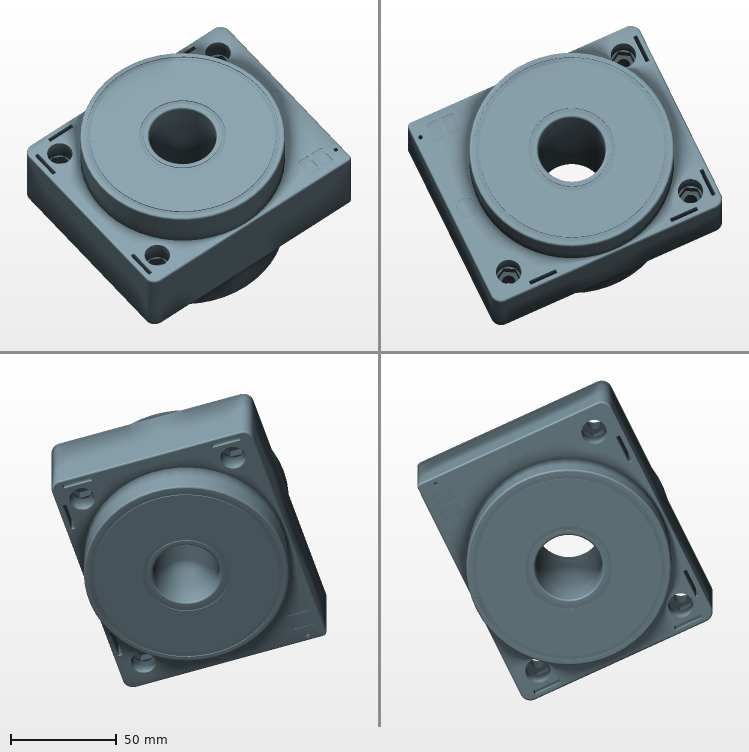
import cadquery as cq

WIDTH = 100.0
LENGTH = 120.0
HEIGHT = 70.0
FLANGE_HEIGHT = 35.0
CORNER_RADIUS = 5.0
EDGE_RADIUS = 1.0
SMALL_CORNER_RADIUS = 2.0

BARREL_RADIUS = 48.5
BORE_RADIUS = 16.0
BARREL_Y = -3.0

RIM_WIDTH = 2.5
PLATE_GAP = 2.0
PLATE_THICKNESS = 0.5
RECESS_OUTER_RADIUS = BARREL_RADIUS - RIM_WIDTH
RECESS_INNER_RADIUS = BORE_RADIUS + RIM_WIDTH
PLATE_OUTER_RADIUS = RECESS_OUTER_RADIUS - PLATE_GAP
PLATE_INNER_RADIUS = RECESS_INNER_RADIUS + PLATE_GAP

HOLE_X = 37.5
HOLE_Y = 47.5
HOLE_POSITIONS = [(-HOLE_X, -HOLE_Y), (HOLE_X, -HOLE_Y), (-HOLE_X, HOLE_Y)]
BOLT_DIAMETER = 6.5
COUNTERBORE_DIAMETER = 12.0
COUNTERBORE_DEPTH = 10.0
NUT_CORNER_DIAMETER = 11.5
NUT_DEPTH = 5.0

SLOT_LENGTH = 14.0
SLOT_WIDTH = 1.9
SLOT_INSET = 3.4
SLOT_OFFSET = 36.8

PIN_HOLE_POSITION = (41.2, 56.8)
PIN_HOLE_DIAMETER = 2.0
MARK_DEPTH = 0.2
MARK_SIZE = 10.0
ROUND_MARK_POSITION = (0, 52.0)
MARK_HEIGHT = 6.1
MARK_CORNER_RADIUS = 1.0
MARK_POSITIONS = [(40.8, 49.0), (40.8, 41.0)]

HALF_HEIGHT = HEIGHT / 2
FLANGE_TOP = FLANGE_HEIGHT / 2
RECESS_FLOOR = HALF_HEIGHT - PLATE_THICKNESS


def ring(outer_radius, inner_radius, bottom, height):
    """Flat ring around the bore axis."""
    return (
        cq.Workplane("XY", origin=(0, BARREL_Y, bottom))
        .circle(outer_radius)
        .circle(inner_radius)
        .extrude(height)
    )


def make_flange():
    """Upper half of the block: three large corner rounds, one small, and rounded top edges."""
    block = cq.Workplane("XY").box(WIDTH, LENGTH, FLANGE_TOP, centered=(True, True, False))
    block = block.edges("|Z and (<X or <Y)").fillet(CORNER_RADIUS)
    block = block.edges("|Z and >X and >Y").fillet(SMALL_CORNER_RADIUS)
    return block.faces(">Z").edges().fillet(EDGE_RADIUS)


def make_barrel():
    """Upper half of the barrel, rounded around the rim and the bore mouth."""
    barrel = ring(BARREL_RADIUS, BORE_RADIUS, 0, HALF_HEIGHT)
    return barrel.faces(">Z").edges().fillet(EDGE_RADIUS)


def cut_mounting_holes(body):
    top = cq.Workplane("XY", origin=(0, 0, FLANGE_TOP)).pushPoints(HOLE_POSITIONS)
    bolt_holes = top.circle(BOLT_DIAMETER / 2).extrude(-FLANGE_TOP)
    counterbores = top.circle(COUNTERBORE_DIAMETER / 2).extrude(-COUNTERBORE_DEPTH)
    nut_pockets = top.polygon(6, NUT_CORNER_DIAMETER).extrude(-COUNTERBORE_DEPTH - NUT_DEPTH)
    return body.cut(bolt_holes).cut(counterbores).cut(nut_pockets)


def cut_slots(body):
    slot_x = SLOT_INSET - WIDTH / 2
    slot_y = SLOT_INSET - LENGTH / 2
    for offset in (-SLOT_OFFSET, SLOT_OFFSET):
        left_slot = cq.Workplane("XY").center(slot_x, BARREL_Y + offset).rect(SLOT_WIDTH, SLOT_LENGTH)
        front_slot = cq.Workplane("XY").center(offset, slot_y).rect(SLOT_LENGTH, SLOT_WIDTH)
        body = body.cut(left_slot.extrude(FLANGE_TOP))
        body = body.cut(front_slot.extrude(FLANGE_TOP))
    return body


def cut_pin_hole(body):
    pin_hole = cq.Workplane("XY").center(*PIN_HOLE_POSITION).circle(PIN_HOLE_DIAMETER / 2)
    return body.cut(pin_hole.extrude(FLANGE_TOP))


def cut_marks(body):
    """Shallow round and rectangular recesses for markings."""
    top = cq.Workplane("XY", origin=(0, 0, FLANGE_TOP))
    round_mark = top.pushPoints([ROUND_MARK_POSITION]).circle(MARK_SIZE / 2).extrude(-MARK_DEPTH)
    label_marks = top.pushPoints(MARK_POSITIONS).rect(MARK_SIZE, MARK_HEIGHT).extrude(-MARK_DEPTH)
    label_marks = label_marks.edges("|Z").fillet(MARK_CORNER_RADIUS)
    return body.cut(round_mark).cut(label_marks)


def make_half_housing():
    bore = cq.Workplane("XY", origin=(0, BARREL_Y, 0)).circle(BORE_RADIUS).extrude(FLANGE_TOP)
    body = make_flange().cut(bore).union(make_barrel())
    body = body.cut(ring(RECESS_OUTER_RADIUS, RECESS_INNER_RADIUS, RECESS_FLOOR, PLATE_THICKNESS))
    body = cut_mounting_holes(body)
    body = cut_slots(body)
    body = cut_pin_hole(body)
    return cut_marks(body)


def make_ring_plate():
    return ring(PLATE_OUTER_RADIUS, PLATE_INNER_RADIUS, RECESS_FLOOR, PLATE_THICKNESS)


upper_bodies = [make_half_housing(), make_ring_plate()]
bodies = []
for upper_body in upper_bodies:
    bodies.append(upper_body.solids().val())
    bodies.append(upper_body.mirror("XY").solids().val())

result = cq.Compound.makeCompound(bodies)